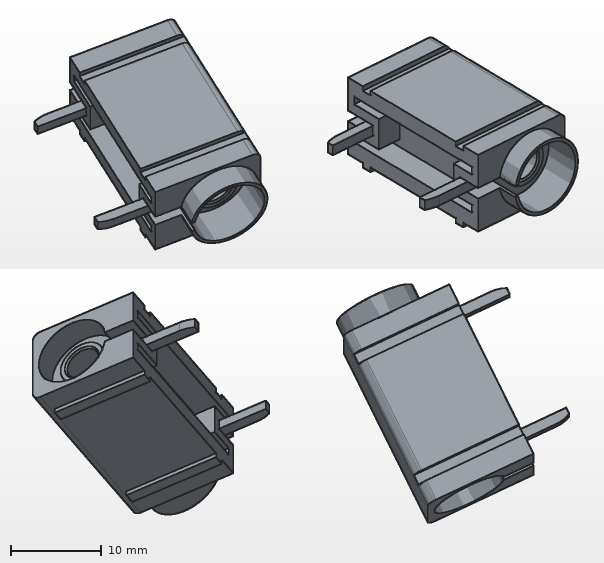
import cadquery as cq


housing_length = 21.4
housing_depth = 13.0
housing_height = 10.1
axis_to_back = 5.1
back_y = axis_to_back
front_y = back_y - housing_depth
top_z = housing_height / 2
bottom_z = -housing_height / 2
back_edge_radius = 1.0

collar_length = 2.6
collar_diameter = 9.4
overall_length = housing_length + collar_length

rail_width = 1.25
rail_height = 0.6
rail_inset = 2.45
rail_starts = [rail_inset, housing_length - rail_inset - rail_width]
rib_back_setback = 1.4

terminal_thickness = 1.2
near_terminal_x = 2.9
far_terminal_x = 18.4
terminal_ring_diameter = 8.6
pin_width = 1.3
pin_protrusion = 6.0
pin_tip_y = front_y - pin_protrusion
tip_length = 1.8
tip_setback = 0.4

bore_diameter = terminal_ring_diameter
near_bore_end = near_terminal_x + terminal_thickness
far_bore_start = far_terminal_x
slot_height = 1.4

pocket_depth = 3.1
pocket_height = 6.0
pocket_side_wall = 1.0
slot_surround_height = 4.0
slot_surround_wall = 1.0

tube_outer_diameter = 5.5
tube_bore_diameter = 4.0
tube_overhang = 0.8
tube_chamfer = 0.2
tube_start = near_terminal_x - tube_overhang
tube_end = far_terminal_x + terminal_thickness + tube_overhang


def box_between(x_range, y_range, z_range):
    """Box from its limits along X, Y and Z."""
    sizes = [high - low for low, high in (x_range, y_range, z_range)]
    corner = (x_range[0], y_range[0], z_range[0])
    return cq.Workplane("XY").box(*sizes, centered=False).translate(corner)


def axial_cylinder(diameter, x_start, x_end):
    """Cylinder on the socket axis."""
    return cq.Workplane("YZ", origin=(x_start, 0, 0)).circle(diameter / 2).extrude(x_end - x_start)


def make_front_pocket(x_start, x_end):
    """Pocket in the front face that leaves a block standing around each pin slot."""
    y_range = (front_y, front_y + pocket_depth)
    half_pocket = pocket_height / 2
    half_surround = slot_surround_height / 2
    pocket = box_between((x_start, x_end), y_range, (-half_pocket, half_pocket))
    near_surround = (x_start, near_bore_end + slot_surround_wall)
    far_surround = (far_bore_start - slot_surround_wall, x_end)
    for x_range in (near_surround, far_surround):
        pocket = pocket.cut(box_between(x_range, y_range, (-half_surround, half_surround)))
    return pocket


def make_housing():
    """Block with collar, rails, pocket, and the bores and slots that hold the contacts."""
    housing = box_between((0, housing_length), (front_y, back_y), (bottom_z, top_z))
    housing = housing.edges("|X and >Y").fillet(back_edge_radius)
    housing = housing.union(axial_cylinder(collar_diameter, housing_length, overall_length))

    for start in rail_starts:
        x_range = (start, start + rail_width)
        groove = box_between(x_range, (front_y, back_y), (top_z - rail_height, top_z))
        rib_y_range = (front_y, back_y - rib_back_setback)
        rib = box_between(x_range, rib_y_range, (bottom_z - rail_height, bottom_z))
        housing = housing.cut(groove).union(rib)

    housing = housing.cut(make_front_pocket(pocket_side_wall, housing_length - pocket_side_wall))

    housing = housing.cut(axial_cylinder(tube_outer_diameter, 0, overall_length))
    for x_range in ((0, near_bore_end), (far_bore_start, overall_length)):
        bore = axial_cylinder(bore_diameter, *x_range)
        slot = box_between(x_range, (front_y, 0), (-slot_height / 2, slot_height / 2))
        housing = housing.cut(bore).cut(slot)
    return housing


def make_terminal(inner_x, outer_x):
    """Ring terminal; the pin tip curves in from the face at outer_x towards inner_x."""
    inward = 1 if inner_x > outer_x else -1
    tip_radius = (tip_length**2 + tip_setback**2) / (2 * tip_setback)
    pin = (
        cq.Workplane("XY", origin=(0, 0, -pin_width / 2))
        .moveTo(inner_x, 0)
        .lineTo(outer_x, 0)
        .lineTo(outer_x, pin_tip_y + tip_length)
        .radiusArc((outer_x + inward * tip_setback, pin_tip_y), -inward * tip_radius)
        .lineTo(inner_x, pin_tip_y)
        .close()
        .extrude(pin_width)
    )
    x_range = (min(inner_x, outer_x), max(inner_x, outer_x))
    ring = axial_cylinder(terminal_ring_diameter, *x_range)
    return ring.union(pin).cut(axial_cylinder(tube_outer_diameter, *x_range))


def make_contact_tube():
    """Tube along the axis, with the bore chamfered at both ends."""
    tube = axial_cylinder(tube_outer_diameter, tube_start, tube_end)
    tube = tube.cut(axial_cylinder(tube_bore_diameter, tube_start, tube_end))
    bore_rims = tube.edges(cq.selectors.RadiusNthSelector(0))
    return bore_rims.chamfer(tube_chamfer)


housing = make_housing()
contact_tube = make_contact_tube()
terminals = []
for inner_face_x, outer_face_x in (
    (near_terminal_x + terminal_thickness, near_terminal_x),
    (far_terminal_x, far_terminal_x + terminal_thickness),
):
    terminals.append(make_terminal(inner_face_x, outer_face_x).solids().val())

result = cq.Compound.makeCompound([housing.solids().val(), contact_tube.solids().val(), *terminals])